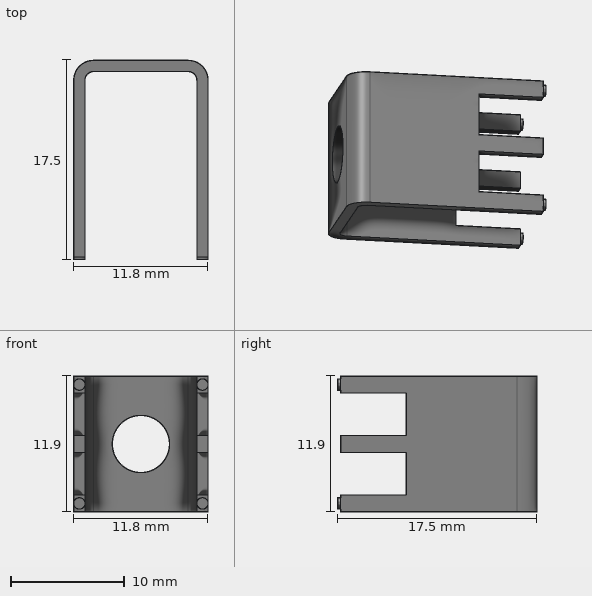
import cadquery as cq

width = 11.8
height = 11.92
thickness = 1.0
inner_bend_radius = 0.75
overall_depth = 17.5
peg_length = 0.25
peg_diameter = 1.0
hole_diameter = 5.0
leg_length = 5.75
outer_leg_width = 1.5
middle_leg_width = 1.5

outer_bend_radius = inner_bend_radius + thickness
bracket_depth = overall_depth - peg_length
leg_end_y = -bracket_depth
notch_height = (height - 2 * outer_leg_width - middle_leg_width) / 2
notch_center_z = (middle_leg_width + notch_height) / 2
peg_x = (width - thickness) / 2
peg_z = (height - outer_leg_width) / 2


def rounded_channel_block(block_width, back_y, bend_radius):
    """Block from the leg ends to back_y with its two rear vertical edges rounded."""
    depth = back_y - leg_end_y
    return (
        cq.Workplane("XY")
        .box(block_width, depth, height)
        .translate((0, leg_end_y + depth / 2, 0))
        .edges("|Z and >Y")
        .fillet(bend_radius)
    )


def bent_sheet():
    """U-shaped sheet, open toward -Y."""
    outside = rounded_channel_block(width, 0, outer_bend_radius)
    inside = rounded_channel_block(width - 2 * thickness, -thickness, inner_bend_radius)
    return outside.cut(inside)


def back_hole():
    """Round cutter through the back wall, centred on it."""
    return cq.Workplane("XZ").circle(hole_diameter / 2).extrude(thickness)


def leg_notches():
    """Two cutters that split the front of both side walls into three legs each."""
    return (
        cq.Workplane("XZ", origin=(0, leg_end_y + leg_length, 0))
        .pushPoints([(0, notch_center_z), (0, -notch_center_z)])
        .rect(width, notch_height)
        .extrude(leg_length)
    )


def end_pegs():
    """Short round pegs on the ends of the four outer legs."""
    return (
        cq.Workplane("XZ", origin=(0, leg_end_y, 0))
        .rect(2 * peg_x, 2 * peg_z, forConstruction=True)
        .vertices()
        .circle(peg_diameter / 2)
        .extrude(peg_length)
    )


result = bent_sheet().cut(back_hole()).cut(leg_notches()).union(end_pegs())